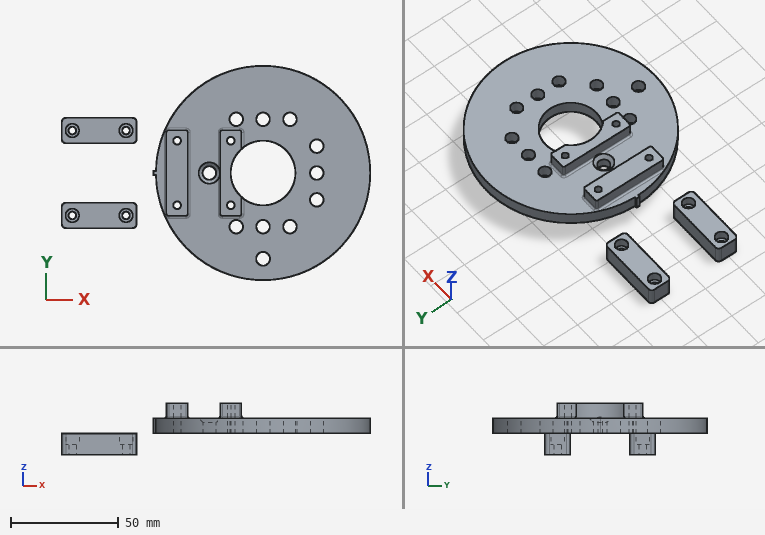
import cadquery as cq

plate_diameter = 100.0
plate_radius = plate_diameter / 2
plate_thickness = 7.0
bore_diameter = 30.0

tab_width = 2.0
tab_projection = 1.2

pattern_offset = 25.0
pattern_pitch = pattern_offset / 2
pattern_hole_diameter = 6.2
lower_hole_diameter = 6.3
lower_hole_offset = 40.0
countersunk_hole_diameter = 6.2
countersink_diameter = 9.9
countersink_depth = (countersink_diameter - countersunk_hole_diameter) / 2

screw_hole_diameter = 3.5

rail_width = 9.9
rail_length = 40.0
rail_height = 7.0
rail_corner_radius = 1.0
rail_root_fillet = 1.0
rail_pitch = 25.0
inner_rail_x = -bore_diameter / 2
outer_rail_x = inner_rail_x - rail_pitch
rail_centres_x = [outer_rail_x, inner_rail_x]
rail_hole_pitch = 30.0

overall_length = 143.8
block_length = 35.0
block_width = 12.0
block_height = 10.0
block_corner_radius = 2.0
block_pitch = 39.5
block_centre_x = plate_radius - overall_length + block_length / 2
block_hole_pitch = rail_pitch
counterbore_diameter = 6.3
counterbore_depth = block_height / 2


def make_rail(centre_x):
    """Round-cornered rail blended into a slab that is wider than its root fillet."""
    slab_margin = 2 * rail_root_fillet
    slab = (
        cq.Workplane("XY")
        .center(centre_x, 0)
        .rect(rail_width + 2 * slab_margin, rail_length + 2 * slab_margin)
        .extrude(plate_thickness)
    )
    upright = (
        cq.Workplane("XY")
        .center(centre_x, 0)
        .rect(rail_width, rail_length)
        .extrude(plate_thickness + rail_height)
        .edges("|Z")
        .fillet(rail_corner_radius)
    )
    reach_x = rail_width / 2 + rail_root_fillet
    reach_y = rail_length / 2 + rail_root_fillet
    root_edges = cq.selectors.BoxSelector(
        (centre_x - reach_x, -reach_y, plate_thickness - rail_root_fillet),
        (centre_x + reach_x, reach_y, plate_thickness + rail_root_fillet),
    )
    return slab.union(upright).edges(root_edges).fillet(rail_root_fillet)


def through_holes(points, diameter):
    """Cutters through the plate and everything that stands on it."""
    return (
        cq.Workplane("XY")
        .pushPoints(points)
        .circle(diameter / 2)
        .extrude(plate_thickness + rail_height)
    )


def cut_hole_pattern(plate):
    """Rows of equal holes on three sides of the bore, and a single hole further out on -Y."""
    steps = [-pattern_pitch, 0, pattern_pitch]
    row_points = [(step, side * pattern_offset) for step in steps for side in (-1, 1)]
    column_points = [(pattern_offset, step) for step in steps]
    plate = plate.cut(through_holes(row_points + column_points, pattern_hole_diameter))
    return plate.cut(through_holes([(0, -lower_hole_offset)], lower_hole_diameter))


def cut_rail_holes(plate):
    """Screw holes near both ends of each rail, through rail and disc."""
    points = [(centre_x, side * rail_hole_pitch / 2) for centre_x in rail_centres_x for side in (-1, 1)]
    return plate.cut(through_holes(points, screw_hole_diameter))


def cut_countersunk_hole(plate):
    """Hole between the rails; its head clearance also cuts the inner rail's root fillet."""
    hole_radius = countersunk_hole_diameter / 2
    head_radius = countersink_diameter / 2
    hole_top = cq.Vector(-pattern_offset, 0, plate_thickness)
    down = cq.Vector(0, 0, -1)
    cone = cq.Solid.makeCone(head_radius, hole_radius, countersink_depth, hole_top, down)
    hole = cq.Solid.makeCylinder(hole_radius, plate_thickness, hole_top, down)
    head_clearance = cq.Solid.makeCylinder(head_radius, rail_height, hole_top)
    return plate.cut(hole).cut(cone).cut(head_clearance)


def make_plate():
    """Disc with index tab, two rails, centre bore, hole pattern and countersunk hole."""
    plate = cq.Workplane("XY").circle(plate_radius).extrude(plate_thickness)
    rim = cq.Workplane("XY").circle(plate_radius).extrude(plate_thickness + rail_height)
    for centre_x in rail_centres_x:
        plate = plate.union(make_rail(centre_x).intersect(rim))

    tab_length = plate_radius + tab_projection + outer_rail_x
    tab = (
        cq.Workplane("XY")
        .center(outer_rail_x - tab_length / 2, 0)
        .rect(tab_length, tab_width)
        .extrude(plate_thickness)
    )
    plate = plate.union(tab).cut(through_holes([(0, 0)], bore_diameter))
    plate = cut_hole_pattern(plate)
    plate = cut_rail_holes(plate)
    return cut_countersunk_hole(plate)


def make_block(centre_y):
    """Mounting block with two counterbored screw holes, its top level with the plate underside."""
    return (
        cq.Workplane("XY", origin=(block_centre_x, centre_y, -block_height))
        .rect(block_length, block_width)
        .extrude(block_height)
        .edges("|Z")
        .fillet(block_corner_radius)
        .faces(">Z")
        .workplane(origin=(block_centre_x, centre_y, 0))
        .rarray(block_hole_pitch, 1.5, 2, 1)
        .cboreHole(screw_hole_diameter, counterbore_diameter, counterbore_depth)
    )


plate = make_plate()
blocks = [make_block(side * block_pitch / 2) for side in (-1, 1)]

result = cq.Compound.makeCompound([plate.val(), *[block.val() for block in blocks]])